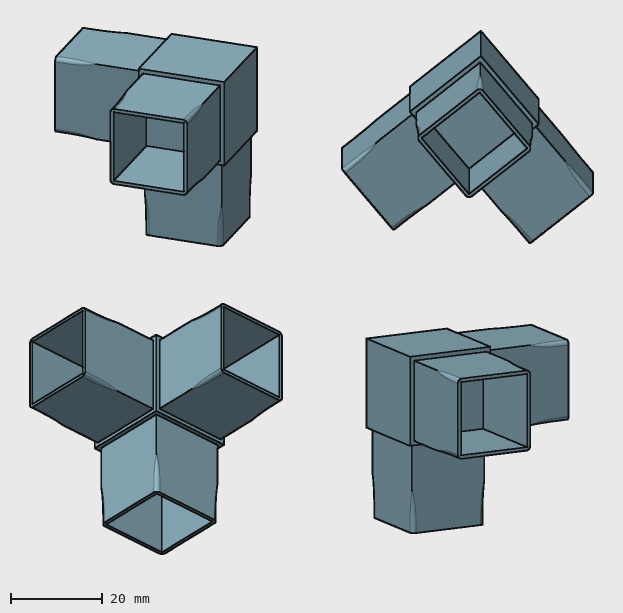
import cadquery as cq
import math

overall_size = 40.0
cube_size = overall_size / 2
spigot_length = overall_size - cube_size
shoulder = 1.0
spigot_width = cube_size - 2 * shoulder
wall = 0.8
bore_width = spigot_width - 2 * wall

tip_radius = 1.0
fade_length = 9.8
fade_power = 3
fade_stations = (0.0, 0.35, 0.55, 0.7, 0.8, 0.9, 0.98)
cutter_margin = 0.4

tip_z = -(cube_size / 2 + spigot_length)


def rounding_section(fraction):
    """Wire between the sharp corner and its rounding, at a fraction of the fade length."""
    radius = tip_radius * (1 - fraction ** fade_power)
    corner = spigot_width / 2
    outside = corner + cutter_margin
    tangent = corner - radius
    arc_middle = tangent + radius * math.sqrt(0.5)
    return (
        cq.Workplane("XY", origin=(0, 0, tip_z + fraction * fade_length))
        .moveTo(corner, tangent)
        .threePointArc((arc_middle, arc_middle), (tangent, corner))
        .lineTo(tangent, outside)
        .lineTo(outside, outside)
        .lineTo(outside, tangent)
        .close()
        .val()
    )


def make_spigot():
    """Square tube pointing along -Z, starting on the lower face of the cube."""
    spigot = (
        cq.Workplane("XY", origin=(0, 0, tip_z))
        .rect(spigot_width, spigot_width)
        .rect(bore_width, bore_width)
        .extrude(spigot_length)
    )
    sections = [rounding_section(fraction) for fraction in fade_stations]
    cutter = cq.Workplane(cq.Solid.makeLoft(sections))
    for angle in (0, 90, 180, 270):
        spigot = spigot.cut(cutter.rotate((0, 0, 0), (0, 0, 1), angle))
    return spigot


spigot_down = make_spigot()
spigot_left = spigot_down.rotate((0, 0, 0), (0, 1, 0), 90)
spigot_front = spigot_down.rotate((0, 0, 0), (1, 0, 0), -90)

result = cq.Workplane("XY").box(cube_size, cube_size, cube_size)
for spigot in (spigot_down, spigot_left, spigot_front):
    result = result.union(spigot)